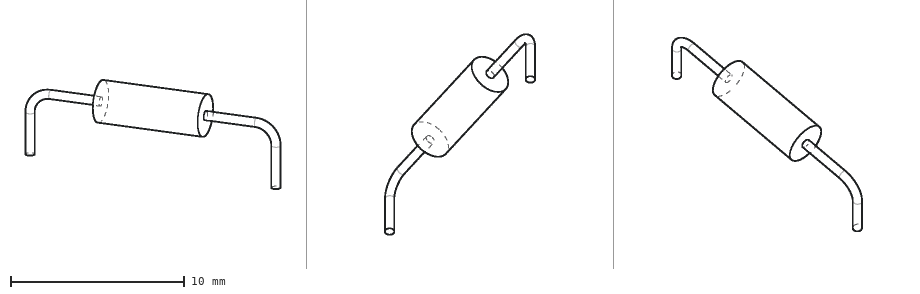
import cadquery as cq

body_diameter = 2.5
body_length = 6.5
wire_diameter = 0.55
lead_pitch = 15.24
bend_radius = 1.25
leg_depth = 2.6

axis_height = body_diameter / 2
leg_x = lead_pitch / 2
bend_start_x = leg_x - bend_radius
bend_end_z = axis_height - bend_radius


def make_body():
    """Cylinder lying along X, centred on the origin in X."""
    return (
        cq.Workplane("YZ", origin=(-body_length / 2, 0, axis_height))
        .circle(body_diameter / 2)
        .extrude(body_length)
    )


def make_lead():
    """Wire from the middle of the body, along +X, then bent down to the leg tip."""
    wire_radius = wire_diameter / 2
    straight = (
        cq.Workplane("YZ", origin=(0, 0, axis_height))
        .circle(wire_radius)
        .extrude(bend_start_x)
    )
    bend = (
        cq.Workplane("YZ", origin=(bend_start_x, 0, axis_height))
        .circle(wire_radius)
        .revolve(90, (0, -bend_radius, 0), (1, -bend_radius, 0))
    )
    leg = (
        cq.Workplane("XY", origin=(leg_x, 0, -leg_depth))
        .circle(wire_radius)
        .extrude(leg_depth + bend_end_z)
    )
    return straight.union(bend).union(leg)


lead = make_lead()
result = make_body().union(lead).union(lead.mirror("YZ"))